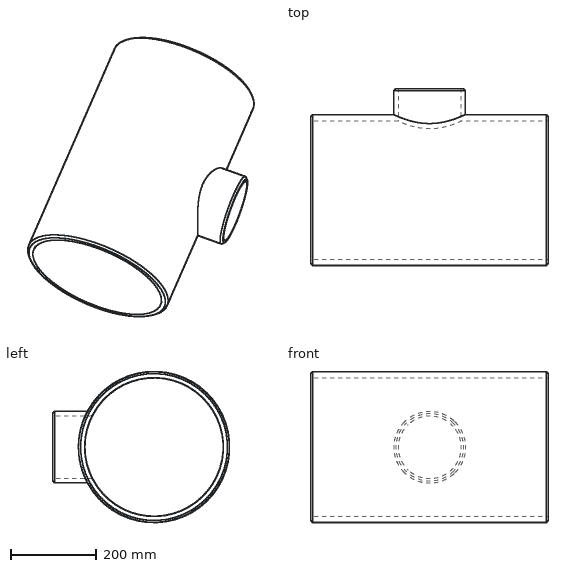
import cadquery as cq

run_length = 559.0
run_diameter = 355.5
run_wall = 15.0

branch_reach = 238.5
branch_diameter = 169.0
branch_wall = 10.5

end_bevel = 5.0


def run_rod(diameter):
    """Solid rod along X, as long as the run and centred on the origin."""
    return cq.Workplane("YZ").circle(diameter / 2).extrude(run_length / 2, both=True)


def branch_rod(diameter):
    """Solid rod along +Y, from the run axis to the open end of the branch."""
    return cq.Workplane("XZ").circle(diameter / 2).extrude(-branch_reach)


run = run_rod(run_diameter).faces("<X or >X").edges().chamfer(end_bevel)
branch = branch_rod(branch_diameter).faces(">Y").edges().chamfer(end_bevel)
body = run.union(branch)

run_bore = run_rod(run_diameter - 2 * run_wall)
branch_bore = branch_rod(branch_diameter - 2 * branch_wall)

result = body.cut(run_bore).cut(branch_bore)